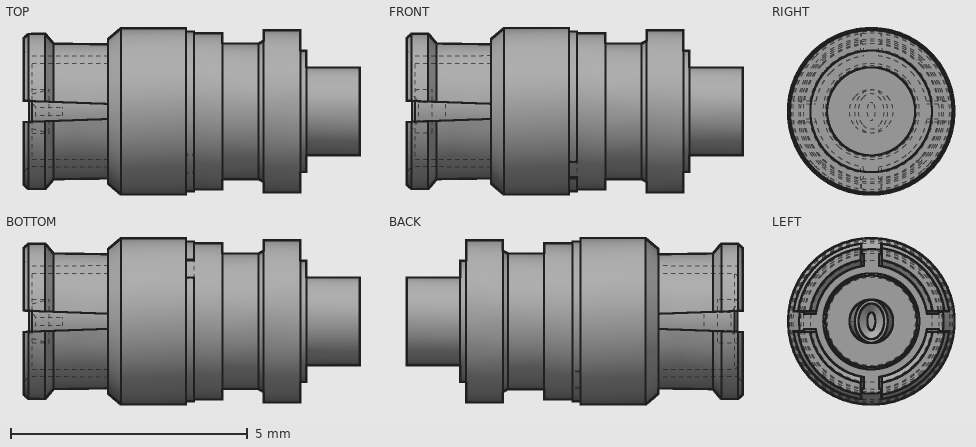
import cadquery as cq
import math

lip_chamfer_end = 0.11
lip_end = 0.455
neck_start = 0.63
collar_start = 1.785
collar_chamfer_end = 2.06
collar_end = 3.435
ring_end = 3.605
band_end = 4.2
waist_end = 4.97
flange_start = 5.08
flange_end = 5.85
step_end = 5.98
total_length = 7.11

lip_front_radius = 1.565
lip_radius = 1.66
neck_front_radius = 1.45
neck_rear_radius = 1.43
collar_front_radius = 1.53
collar_radius = 1.76
ring_radius = 1.69
band_radius = 1.66
waist_radius = 1.435
flange_front_radius = 1.49
flange_radius = 1.72
step_radius = 1.29
tail_radius = 0.93

mouth_radius = 1.315
bore_radius = 1.19
mouth_chamfer_length = 0.11
insulator_start = 0.115
insulator_chamfer_length = 0.065
insulator_front_radius = 0.97
insulator_radius = 1.02

slot_front_width = 0.45
slot_rear_width = 0.32

ring_gap_width = 0.51
ring_gap_angle = 48.0

contact_hole_radius = 0.46
contact_half_width = 0.35
contact_half_height = 0.455
contact_wall = 0.08
throat_half_width = 0.085
throat_half_height = 0.19
contact_depth = 0.43
funnel_depth = 0.14
throat_depth = 0.57


def revolve_about_x(points):
    """Revolve a closed (x, radius) outline about the X axis."""
    return cq.Workplane("XY").polyline(points).close().revolve(360, (0, 0, 0), (1, 0, 0))


def oval_loft(front_half_sizes, rear_half_sizes, length):
    """Tapered oval plug running inward from the insulator face; half sizes are (Y, Z)."""
    return (
        cq.Workplane("YZ", origin=(insulator_start, 0, 0))
        .ellipse(*front_half_sizes)
        .workplane(offset=length)
        .ellipse(*rear_half_sizes)
        .loft(combine=True)
    )


def make_shell():
    """Stepped outer body with the finger bore closed at the collar face."""
    return revolve_about_x([
        (0, mouth_radius),
        (0, lip_front_radius),
        (lip_chamfer_end, lip_radius),
        (lip_end, lip_radius),
        (neck_start, neck_front_radius),
        (collar_start, neck_rear_radius),
        (collar_start, collar_front_radius),
        (collar_chamfer_end, collar_radius),
        (collar_end, collar_radius),
        (collar_end, ring_radius),
        (ring_end, ring_radius),
        (ring_end, band_radius),
        (band_end, band_radius),
        (band_end, waist_radius),
        (waist_end, waist_radius),
        (flange_start, flange_front_radius),
        (flange_start, flange_radius),
        (flange_end, flange_radius),
        (flange_end, step_radius),
        (step_end, step_radius),
        (step_end, tail_radius),
        (total_length, tail_radius),
        (total_length, 0),
        (collar_start, 0),
        (collar_start, bore_radius),
        (mouth_chamfer_length, bore_radius),
    ])


def make_finger_slots():
    """Two crossed wedges, wider at the mouth, that stop at the collar face."""
    wedge = (
        cq.Workplane("XY", origin=(0, 0, -collar_radius))
        .polyline([
            (0, -slot_front_width / 2),
            (collar_start, -slot_rear_width / 2),
            (collar_start, slot_rear_width / 2),
            (0, slot_front_width / 2),
        ])
        .close()
        .extrude(2 * collar_radius)
    )
    return wedge.union(wedge.rotate((0, 0, 0), (1, 0, 0), 90))


def make_insulator():
    """Chamfered core reaching back to the collar face."""
    return revolve_about_x([
        (insulator_start, 0),
        (insulator_start, insulator_front_radius),
        (insulator_start + insulator_chamfer_length, insulator_radius),
        (collar_start, insulator_radius),
        (collar_start, 0),
    ])


def make_contact_clearance():
    """Space around the squeezed contact, narrowing to nothing as it becomes round."""
    hole = (
        cq.Workplane("YZ", origin=(insulator_start, 0, 0))
        .circle(contact_hole_radius)
        .extrude(contact_depth)
    )
    contact = oval_loft(
        (contact_half_width, contact_half_height),
        (contact_hole_radius, contact_hole_radius),
        contact_depth,
    )
    return hole.cut(contact)


def make_contact_socket():
    """Oval funnel inside the contact, leading into a straight oval throat."""
    funnel = oval_loft(
        (contact_half_width - contact_wall, contact_half_height - contact_wall),
        (throat_half_width, throat_half_height),
        funnel_depth,
    )
    throat = (
        cq.Workplane("YZ", origin=(insulator_start + funnel_depth, 0, 0))
        .ellipse(throat_half_width, throat_half_height)
        .extrude(throat_depth)
    )
    return funnel.union(throat)


def make_ring_gap():
    """Notch through the snap ring, down to the band radius."""
    ring_length = ring_end - collar_end
    angle = math.radians(ring_gap_angle)
    block = (
        cq.Workplane("XY")
        .box(ring_length, ring_radius, ring_gap_width)
        .rotate((0, 0, 0), (1, 0, 0), ring_gap_angle)
        .translate((
            (collar_end + ring_end) / 2,
            -ring_radius * math.cos(angle),
            -ring_radius * math.sin(angle),
        ))
    )
    band = cq.Workplane("YZ", origin=(collar_end, 0, 0)).circle(band_radius).extrude(ring_length)
    return block.cut(band)


shell = make_shell().cut(make_finger_slots()).cut(make_ring_gap())
core = make_insulator().cut(make_contact_clearance()).cut(make_contact_socket())
result = shell.union(core)